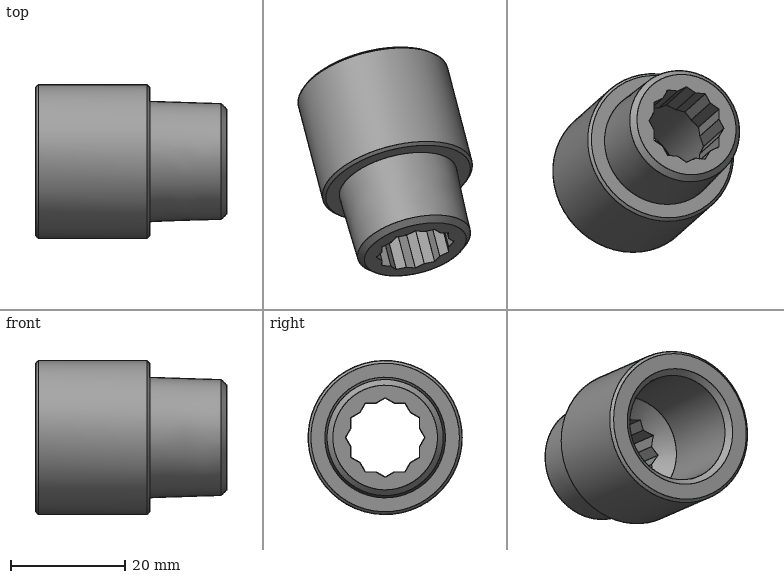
import cadquery as cq
import math

total_length = 33.5
body_length = 20.0
body_diameter = 27.0
body_chamfer = 0.5

neck_root_diameter = 21.13
neck_tip_diameter = 20.33
neck_chamfer = 1.0

bore_diameter = 18.63
bore_depth = body_length
mouth_chamfer = 1.0
floor_angle = 45.0

drive_across_flats = 12.0
hexagon_sides = 6
hexagon_turns = (0.0, 30.0)

body_radius = body_diameter / 2
bore_radius = bore_diameter / 2
neck_tip_radius = neck_tip_diameter / 2
neck_taper_end = total_length - neck_chamfer
neck_root_radius = neck_root_diameter / 2
floor_cone_length = bore_radius / math.tan(math.radians(floor_angle))


def revolve_about_x(profile_points):
    """Turn a closed (x, radius) profile about the X axis."""
    profile = cq.Workplane("XY").polyline(profile_points).close()
    return profile.revolve(360, (0, 0, 0), (1, 0, 0))


def make_outer_body():
    """Chamfered cylinder followed by the tapered, chamfered neck."""
    return revolve_about_x([
        (0, 0),
        (0, body_radius - body_chamfer),
        (body_chamfer, body_radius),
        (body_length - body_chamfer, body_radius),
        (body_length, body_radius - body_chamfer),
        (body_length, neck_root_radius),
        (neck_taper_end, neck_tip_radius),
        (total_length, neck_tip_radius - neck_chamfer),
        (total_length, 0),
    ])


def make_bore():
    """Chamfered mouth, straight bore and conical floor."""
    return revolve_about_x([
        (0, 0),
        (0, bore_radius + mouth_chamfer),
        (mouth_chamfer, bore_radius),
        (bore_depth, bore_radius),
        (bore_depth + floor_cone_length, 0),
    ])


def make_drive_hexagon(turn):
    """Hexagonal prism along the full length, turned about the X axis."""
    across_corners = drive_across_flats / math.cos(math.pi / hexagon_sides)
    prism = cq.Workplane("YZ").polygon(hexagon_sides, across_corners).extrude(total_length)
    return prism.rotate((0, 0, 0), (1, 0, 0), turn)


result = make_outer_body().cut(make_bore())
for hexagon_turn in hexagon_turns:
    result = result.cut(make_drive_hexagon(hexagon_turn))